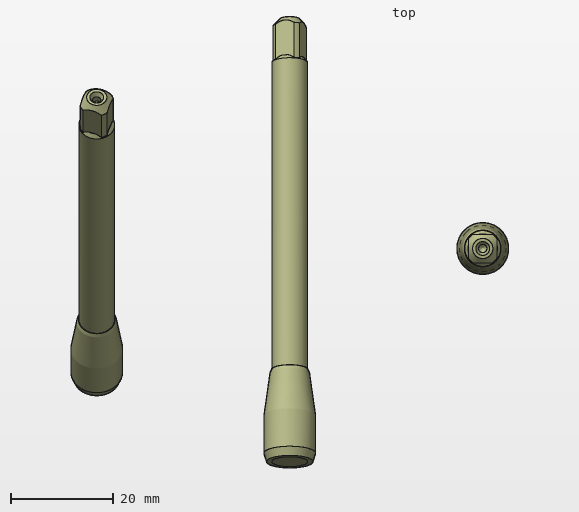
import cadquery as cq

total_length = 90.0
shaft_diameter = 7.0
shaft_radius = shaft_diameter / 2

square_width = 5.6
square_corner_diameter = 6.75
square_base_z = 82.0
shoulder_chamfer_width = 0.6
shoulder_chamfer_height = 0.8
tip_diameter = 4.0
tip_chamfer_height = 1.5

centre_hole_diameter = 1.6
centre_hole_mouth_diameter = 2.7
countersink_depth = 0.9
centre_hole_depth = 2.25
drill_point_depth = centre_hole_diameter / 2

sleeve_diameter = 10.2
sleeve_length = 18.7
sleeve_bottom_diameter = 9.1
bottom_chamfer_height = 1.7
taper_start_z = 9.4
taper_top_diameter = 7.8
top_chamfer_height = 0.8
sleeve_top_diameter = 7.2


def revolve_profile(points):
    """Revolve a closed (radius, height) outline about the Z axis."""
    return cq.Workplane("XZ").polyline(points).close().revolve(360, (0, 0), (0, 1))


def make_square_drive():
    """Square with rounded corners and a conical tip."""
    corner_radius = square_corner_diameter / 2
    envelope = revolve_profile([
        (0, square_base_z - shoulder_chamfer_height),
        (corner_radius, square_base_z - shoulder_chamfer_height),
        (corner_radius, total_length - tip_chamfer_height),
        (tip_diameter / 2, total_length),
        (0, total_length),
    ])
    square = cq.Workplane("XY").rect(square_width, square_width).extrude(total_length)
    return envelope.intersect(square)


def make_centre_hole():
    """Countersunk hole with a conical drill point, as a cutting solid."""
    hole_radius = centre_hole_diameter / 2
    hole_bottom_z = total_length - centre_hole_depth
    return revolve_profile([
        (0, hole_bottom_z - drill_point_depth),
        (hole_radius, hole_bottom_z),
        (hole_radius, total_length - countersink_depth),
        (centre_hole_mouth_diameter / 2, total_length),
        (0, total_length),
    ])


def make_shaft():
    """Round shaft with a chamfered shoulder and a square drive end."""
    body = revolve_profile([
        (0, 0),
        (shaft_radius, 0),
        (shaft_radius, square_base_z - shoulder_chamfer_height),
        (shaft_radius - shoulder_chamfer_width, square_base_z),
        (0, square_base_z),
    ])
    return body.union(make_square_drive()).cut(make_centre_hole())


def make_sleeve():
    """Tapered sleeve with a through bore that fits the shaft."""
    return revolve_profile([
        (shaft_radius, 0),
        (sleeve_bottom_diameter / 2, 0),
        (sleeve_diameter / 2, bottom_chamfer_height),
        (sleeve_diameter / 2, taper_start_z),
        (taper_top_diameter / 2, sleeve_length - top_chamfer_height),
        (sleeve_top_diameter / 2, sleeve_length),
        (shaft_radius, sleeve_length),
    ])


shaft = make_shaft()
sleeve = make_sleeve()

result = cq.Compound.makeCompound([shaft.val(), sleeve.val()])